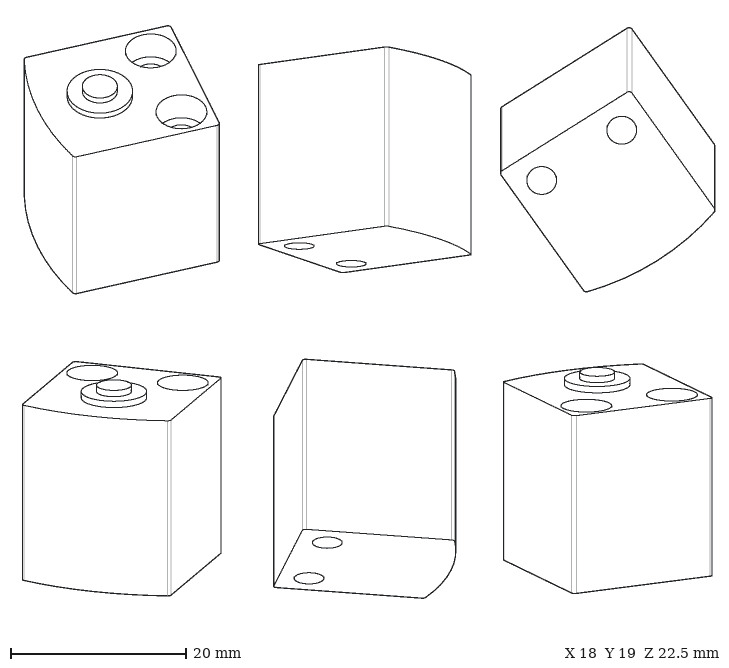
import cadquery as cq
import math

WIDTH = 18.0
DEPTH = 19.0
HOUSING_HEIGHT = 21.0
FRONT_RADIUS = 30.0
CORNER_RADIUS = 0.4

SCREW_SPACING = 11.0
SCREW_FROM_BACK = 3.5
SCREW_DIAMETER = 3.4
HEAD_DIAMETER = 5.8
HEAD_DEPTH = 3.5

PLUNGER_FROM_BACK = 11.5
COLLAR_DIAMETER = 7.5
TIP_DIAMETER = 4.0
TOTAL_HEIGHT = 22.5
COLLAR_HEIGHT = (TOTAL_HEIGHT - HOUSING_HEIGHT) / 2
TIP_HEIGHT = TOTAL_HEIGHT - HOUSING_HEIGHT - COLLAR_HEIGHT

BACK_Y = DEPTH
HALF_WIDTH = WIDTH / 2
FRONT_CORNER_Y = FRONT_RADIUS - math.sqrt(FRONT_RADIUS**2 - HALF_WIDTH**2)


def make_block():
    """Block with a bowed front and rounded upright edges."""
    return (
        cq.Workplane("XY")
        .moveTo(-HALF_WIDTH, BACK_Y)
        .lineTo(-HALF_WIDTH, FRONT_CORNER_Y)
        .threePointArc((0, 0), (HALF_WIDTH, FRONT_CORNER_Y))
        .lineTo(HALF_WIDTH, BACK_Y)
        .close()
        .extrude(HOUSING_HEIGHT)
        .edges("|Z")
        .fillet(CORNER_RADIUS)
    )


def make_housing():
    """Block with its two counterbored screw holes."""
    screw_y = BACK_Y - SCREW_FROM_BACK
    return (
        make_block()
        .faces(">Z")
        .workplane(origin=(0, screw_y, HOUSING_HEIGHT))
        .pushPoints([(-SCREW_SPACING / 2, 0), (SCREW_SPACING / 2, 0)])
        .cboreHole(SCREW_DIAMETER, HEAD_DIAMETER, HEAD_DEPTH)
    )


def make_plunger():
    """Collar resting on the housing top, with a narrower tip above it."""
    plunger_y = BACK_Y - PLUNGER_FROM_BACK
    return (
        cq.Workplane("XY", origin=(0, plunger_y, HOUSING_HEIGHT))
        .circle(COLLAR_DIAMETER / 2)
        .extrude(COLLAR_HEIGHT)
        .faces(">Z")
        .workplane()
        .circle(TIP_DIAMETER / 2)
        .extrude(TIP_HEIGHT)
    )


housing = make_housing()
plunger = make_plunger()
result = cq.Compound.makeCompound([housing.val(), plunger.val()])